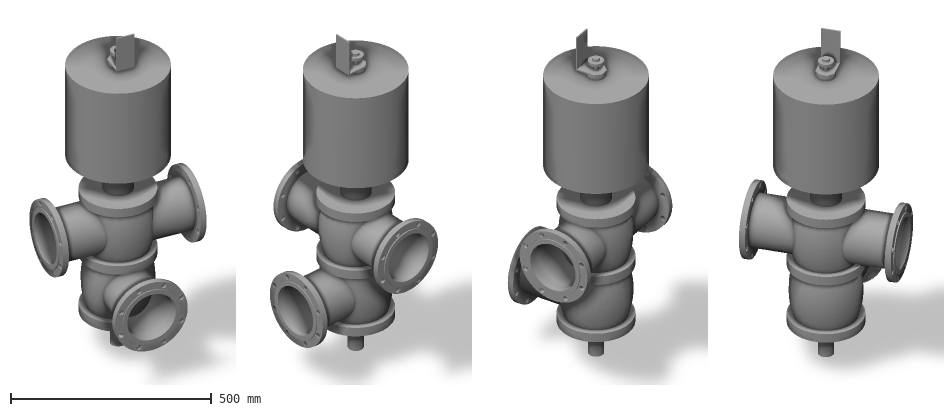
import cadquery as cq

drain_length = 94.5
drain_diameter = 40.0
flange_diameter = 196.5
flange_thickness = 25.0
chamber_height = 145.0
chamber_end_radius = 82.0
chamber_bulge_radius = 94.0
chamber_pitch = flange_thickness + chamber_height
lower_axis_z = drain_length + flange_thickness + chamber_height / 2
upper_axis_z = lower_axis_z + chamber_pitch
housing_top = drain_length + 2 * chamber_pitch + flange_thickness

face_to_face = 400.0
nozzle_reach = face_to_face / 2
nozzle_diameter = 139.0
bore_diameter = 134.0
nozzle_flange_diameter = 200.0
nozzle_flange_thickness = 16.0
raised_face_diameter = 158.0
raised_face_height = 3.0
bolt_circle_diameter = 179.0
bolt_hole_diameter = 14.0
bolt_count = 8

neck_diameter = 80.0
collar_bottom = 535.0
collar_diameter = 105.0
collar_thickness = 18.0
neck_top_diameter = 74.0
actuator_bottom = 558.0
actuator_diameter = 264.0
actuator_height = 268.0
actuator_top = actuator_bottom + actuator_height

boss_diameter = 50.0
boss_height = 6.0
boss_top = actuator_top + boss_height
base_height = 7.5
base_top = boss_top + base_height
stem_diameter = 14.0
nut_bottom = 862.0
nut_diameter = 40.0
nut_thickness = 8.0
nut_top = nut_bottom + nut_thickness
knob_diameter = 20.0
knob_top = 878.0

overall_height = 936.0
bracket_thickness = 4.0
bracket_width = boss_diameter
bracket_corner = 14.0
bracket_right = 44.0


def cylinder(diameter, bottom, top):
    """Upright cylinder on the valve axis."""
    return cq.Workplane("XY").workplane(offset=bottom).circle(diameter / 2).extrude(top - bottom)


def chamber(axis_z):
    """Chamber with a wall that bulges out at mid-height."""
    bottom = axis_z - chamber_height / 2
    top = axis_z + chamber_height / 2
    return (
        cq.Workplane("XZ")
        .moveTo(0, bottom)
        .lineTo(chamber_end_radius, bottom)
        .threePointArc((chamber_bulge_radius, axis_z), (chamber_end_radius, top))
        .lineTo(0, top)
        .close()
        .revolve(360, (0, 0, 0), (0, 1, 0))
    )


def nozzle(axis_z, turn):
    """Flanged tube leaving the chamber, pointing along +X before it is turned about Z."""
    flange_outer = nozzle_reach - raised_face_height
    flange_inner = flange_outer - nozzle_flange_thickness
    start = cq.Workplane("YZ")
    tube = start.circle(nozzle_diameter / 2).extrude(nozzle_reach)
    flange = (
        start.workplane(offset=flange_inner)
        .circle(nozzle_flange_diameter / 2)
        .extrude(nozzle_flange_thickness)
    )
    raised_face = (
        start.workplane(offset=flange_outer)
        .circle(raised_face_diameter / 2)
        .extrude(raised_face_height)
    )
    bore = start.circle(bore_diameter / 2).extrude(nozzle_reach)
    half_step = 180 / bolt_count
    bolt_holes = (
        start.workplane(offset=flange_inner)
        .polarArray(bolt_circle_diameter / 2, half_step, 360, bolt_count)
        .circle(bolt_hole_diameter / 2)
        .extrude(nozzle_reach - flange_inner)
    )
    body = tube.union(flange).union(raised_face).cut(bore).cut(bolt_holes)
    return body.rotate((0, 0, 0), (0, 0, 1), turn).translate((0, 0, axis_z))


def make_valve():
    """Housing, nozzles, actuator and boss as one solid."""
    valve = cylinder(drain_diameter, 0, drain_length)
    for level in range(3):
        bottom = drain_length + level * chamber_pitch
        valve = valve.union(cylinder(flange_diameter, bottom, bottom + flange_thickness))

    for axis_z, turn in ((lower_axis_z, 0), (upper_axis_z, 90), (upper_axis_z, -90)):
        valve = valve.union(nozzle(axis_z, turn))
    for axis_z in (lower_axis_z, upper_axis_z):
        valve = valve.union(chamber(axis_z))

    collar_top = collar_bottom + collar_thickness
    for diameter, bottom, top in (
        (neck_diameter, housing_top, collar_bottom),
        (collar_diameter, collar_bottom, collar_top),
        (neck_top_diameter, collar_top, actuator_bottom),
        (actuator_diameter, actuator_bottom, actuator_top),
        (boss_diameter, actuator_top, boss_top),
    ):
        valve = valve.union(cylinder(diameter, bottom, top))
    return valve


def make_bracket():
    """L-shaped sheet that lies on the indicator base."""
    left = -boss_diameter / 2
    length = bracket_right - left
    foot = (
        cq.Workplane("XY")
        .box(length, bracket_width, bracket_thickness, centered=(False, True, False))
        .edges("|Z and <X")
        .chamfer(bracket_corner)
        .translate((left, 0, base_top))
    )
    plate = (
        cq.Workplane("XY")
        .box(bracket_thickness, bracket_width, overall_height - base_top, centered=(False, True, False))
        .translate((bracket_right - bracket_thickness, 0, base_top))
    )
    return foot.union(plate)


def make_indicator():
    """Base disc, bracket, stem, nut and knob as one solid, seated on the actuator boss."""
    indicator = cylinder(boss_diameter, boss_top, base_top).union(make_bracket())
    for diameter, bottom, top in (
        (stem_diameter, base_top, nut_bottom),
        (nut_diameter, nut_bottom, nut_top),
        (knob_diameter, nut_top, knob_top),
    ):
        indicator = indicator.union(cylinder(diameter, bottom, top))
    return indicator


valve = make_valve()
indicator = make_indicator()
result = cq.Compound.makeCompound([valve.val(), indicator.val()])